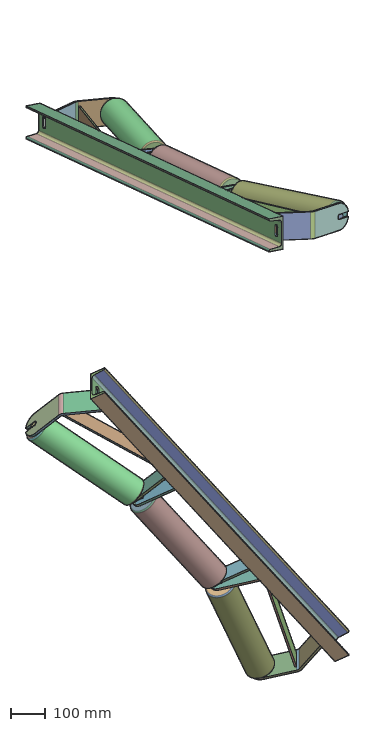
import cadquery as cq
import math


CHANNEL_LENGTH = 1300.0
CHANNEL_HEIGHT = 100.0
FLANGE_WIDTH = 48.0
WEB_THICKNESS = 5.0
FLANGE_THICKNESS = 9.0
FLANGE_TAPER = 0.1
ROOT_FILLET = 8.5
TOE_FILLET = 4.5
MOUNT_SLOT_WIDTH = 15.0
MOUNT_SLOT_HEIGHT = 36.0
MOUNT_SLOT_INSET = 29.0

ROLLER_RADIUS = 44.8
ROLLER_LENGTH = 380.0
ROLLER_EDGE = 4.0
SPINDLE_RADIUS = 9.8
SPINDLE_FLATS = 13.0
AXIS_HEIGHT = 118.0
SIDE_AXIS_HEIGHT = 121.0
AXIS_DROP = 20.0
TROUGH_ANGLE = 15.0

PLATE = 8.0
PLATE_SPACING = 396.0
BEND_RADIUS = 9.0
INNER_FOOT_SPREAD = 55.0
INNER_WIDTH = 51.0
OUTER_HALF_WIDTH = 41.0
TIP_DROP = 6.0
KNEE_HEIGHT = 112.0
KNEE_RADIUS = 18.0
LEG_ANGLE = 25.0
SLOT_WIDTH = 15.0
SLOT_DEPTH_BELOW_AXIS = 12.0

BRACE_THICKNESS = 5.8
BRACE_ANGLE = 19.1
BRACE_WIDTH = 55.0

COS = math.cos(math.radians(TROUGH_ANGLE))
SIN = math.sin(math.radians(TROUGH_ANGLE))
TAN = SIN / COS
LEG_TAN = math.tan(math.radians(LEG_ANGLE))

INNER_LEG_X = PLATE_SPACING / 2
SLANT_FOOT_X = INNER_LEG_X + INNER_FOOT_SPREAD
INNER_POINT = (SLANT_FOOT_X - SIDE_AXIS_HEIGHT * TAN, SIDE_AXIS_HEIGHT)
OUTER_POINT = (INNER_POINT[0] + PLATE_SPACING * COS, INNER_POINT[1] + PLATE_SPACING * SIN)
AXIS_TILT = math.degrees(math.asin(AXIS_DROP / PLATE_SPACING))

KNEE = (OUTER_POINT[0] + (OUTER_POINT[1] - KNEE_HEIGHT) * TAN, KNEE_HEIGHT)


def mirrored(body):
    return body.mirror("YZ")


def make_channel():
    half = CHANNEL_HEIGHT / 2
    middle = FLANGE_WIDTH / 2
    toe = half - FLANGE_THICKNESS + FLANGE_TAPER * middle
    root = half - FLANGE_THICKNESS - FLANGE_TAPER * (middle - WEB_THICKNESS)
    section = [
        (0, half), (-FLANGE_WIDTH, half), (-FLANGE_WIDTH, toe), (-WEB_THICKNESS, root),
        (-WEB_THICKNESS, -root), (-FLANGE_WIDTH, -toe), (-FLANGE_WIDTH, -half), (0, -half),
    ]
    beam = (
        cq.Workplane("YZ", origin=(-CHANNEL_LENGTH / 2, 0, 0))
        .polyline(section).close().extrude(CHANNEL_LENGTH)
    )
    for sign in (1, -1):
        root_edge = cq.NearestToPointSelector((0, -WEB_THICKNESS, sign * root))
        beam = beam.edges(root_edge).fillet(ROOT_FILLET)
        toe_edge = cq.NearestToPointSelector((0, -FLANGE_WIDTH, sign * toe))
        beam = beam.edges(toe_edge).fillet(TOE_FILLET)
    slot_x = CHANNEL_LENGTH / 2 - MOUNT_SLOT_INSET
    slots = (
        cq.Workplane("XZ").pushPoints([(-slot_x, 0), (slot_x, 0)])
        .slot2D(MOUNT_SLOT_HEIGHT, MOUNT_SLOT_WIDTH, 90)
        .extrude(WEB_THICKNESS)
    )
    return beam.cut(slots)


def make_roller():
    """Roller along X, centred on the origin, with its flatted spindle reaching through both plates."""
    shell = (
        cq.Workplane("YZ", origin=(-ROLLER_LENGTH / 2, 0, 0))
        .circle(ROLLER_RADIUS).extrude(ROLLER_LENGTH)
        .edges().fillet(ROLLER_EDGE)
    )
    spindle_length = PLATE_SPACING + PLATE
    spindle = (
        cq.Workplane("YZ", origin=(-spindle_length / 2, 0, 0))
        .circle(SPINDLE_RADIUS).extrude(spindle_length)
    )
    flats = cq.Workplane("XY").box(spindle_length, 2 * SPINDLE_RADIUS, SPINDLE_FLATS)
    return shell.union(spindle.intersect(flats))


def make_side_roller():
    middle_x = (INNER_POINT[0] + OUTER_POINT[0]) / 2
    middle_y = (INNER_POINT[1] + OUTER_POINT[1]) / 2
    return (
        make_roller()
        .rotate((0, 0, 0), (0, 1, 0), -AXIS_TILT)
        .rotate((0, 0, 0), (0, 0, 1), TROUGH_ANGLE)
        .translate((middle_x, middle_y, -AXIS_DROP / 2))
    )


def plate_frame(x, y, z):
    """Plane of a slanted plate at a roller axis: local X runs up the plate, local Y along Z."""
    return cq.Plane(origin=(x, y, z), xDir=(-SIN, COS, 0), normal=(COS, SIN, 0))


def spindle_slot(plane, reach):
    """Cutter for a slot with a round bottom, open upward, through one plate."""
    floor = SLOT_WIDTH / 2 - SLOT_DEPTH_BELOW_AXIS
    return (
        cq.Workplane(plane)
        .moveTo(reach, -SLOT_WIDTH / 2)
        .lineTo(floor, -SLOT_WIDTH / 2)
        .threePointArc((-SLOT_DEPTH_BELOW_AXIS, 0), (floor, SLOT_WIDTH / 2))
        .lineTo(reach, SLOT_WIDTH / 2)
        .close()
        .extrude(PLATE, both=True)
    )


def round_tip(plane, radius, center):
    """Outline of a bracket seen square to the plate: straight sides ending in a semicircle."""
    reach = 2 * OUTER_POINT[1]
    return (
        cq.Workplane(plane)
        .moveTo(-reach, -radius)
        .lineTo(center, -radius)
        .threePointArc((center + radius, 0), (center, radius))
        .lineTo(-reach, radius)
        .close()
        .extrude(reach, both=True)
    )


def make_inner_bracket():
    """Folded plate with an upright leg and a slanted leg joined by a bend at the top."""
    bend_x = INNER_LEG_X + BEND_RADIUS
    bend_y = (INNER_FOOT_SPREAD - BEND_RADIUS - BEND_RADIUS / COS) / TAN
    outer = BEND_RADIUS + PLATE / 2
    inner = BEND_RADIUS - PLATE / 2
    half_foot = PLATE / 2 / COS
    bracket = (
        cq.Workplane("XY").workplane(offset=-AXIS_DROP - INNER_WIDTH / 2)
        .moveTo(INNER_LEG_X - PLATE / 2, 0)
        .lineTo(INNER_LEG_X - PLATE / 2, bend_y)
        .threePointArc((bend_x, bend_y + outer), (bend_x + outer * COS, bend_y + outer * SIN))
        .lineTo(SLANT_FOOT_X + half_foot, 0)
        .lineTo(SLANT_FOOT_X - half_foot, 0)
        .lineTo(bend_x + inner * COS, bend_y + inner * SIN)
        .threePointArc((bend_x, bend_y + inner), (INNER_LEG_X + PLATE / 2, bend_y))
        .lineTo(INNER_LEG_X + PLATE / 2, 0)
        .close()
        .extrude(INNER_WIDTH)
    )
    upright = cq.Plane(origin=(INNER_LEG_X, AXIS_HEIGHT, -AXIS_DROP), xDir=(0, 1, 0), normal=(1, 0, 0))
    tip_center = bend_y + outer - INNER_WIDTH / 2 - AXIS_HEIGHT
    bracket = bracket.intersect(round_tip(upright, INNER_WIDTH / 2, tip_center))
    slanted = plate_frame(*INNER_POINT, -AXIS_DROP)
    bracket = bracket.cut(spindle_slot(upright, OUTER_HALF_WIDTH))
    return bracket.cut(spindle_slot(slanted, OUTER_HALF_WIDTH))


def make_outer_bracket():
    """Bent plate: a lower leg leaning out to the knee, then an upper plate square to the roller."""
    tip_y = OUTER_POINT[1] + OUTER_HALF_WIDTH * COS
    tip_x = OUTER_POINT[0] - OUTER_HALF_WIDTH * SIN
    foot_x = KNEE[0] - KNEE[1] * LEG_TAN
    half_foot = PLATE / 2 / math.cos(math.radians(LEG_ANGLE))
    bisector = math.radians((LEG_ANGLE - TROUGH_ANGLE) / 2)
    half_turn = math.radians((LEG_ANGLE + TROUGH_ANGLE) / 2)
    shift = PLATE / 2 / math.cos(half_turn)
    shift_x = shift * math.cos(bisector)
    shift_y = -shift * math.sin(bisector)
    tip_shift = (PLATE / 2 * COS, PLATE / 2 * SIN)
    outline = [
        (foot_x - half_foot, 0), (foot_x + half_foot, 0),
        (KNEE[0] + shift_x, KNEE[1] + shift_y),
        (tip_x + tip_shift[0], tip_y + tip_shift[1]),
        (tip_x - tip_shift[0], tip_y - tip_shift[1]),
        (KNEE[0] - shift_x, KNEE[1] - shift_y),
    ]
    bracket = (
        cq.Workplane("XY", origin=(0, 0, -OUTER_HALF_WIDTH))
        .polyline(outline).close().extrude(2 * OUTER_HALF_WIDTH)
    )
    outside_edge = cq.NearestToPointSelector((KNEE[0] + shift_x, KNEE[1] + shift_y, 0))
    bracket = bracket.edges(outside_edge).fillet(KNEE_RADIUS + PLATE / 2)
    inside_edge = cq.NearestToPointSelector((KNEE[0] - shift_x, KNEE[1] - shift_y, 0))
    bracket = bracket.edges(inside_edge).fillet(KNEE_RADIUS - PLATE / 2)
    plane = plate_frame(*OUTER_POINT, 0)
    silhouette = round_tip(plane, OUTER_HALF_WIDTH, -TIP_DROP)
    bracket = bracket.intersect(silhouette)
    return bracket.cut(spindle_slot(plane, 2 * OUTER_HALF_WIDTH))


def make_brace():
    """Flat bar from just above the knee of an outer bracket down to the channel back."""
    cos = math.cos(math.radians(BRACE_ANGLE))
    sin = math.sin(math.radians(BRACE_ANGLE))
    half_turn = math.radians((LEG_ANGLE + TROUGH_ANGLE) / 2)
    straight_start = KNEE_RADIUS * math.tan(half_turn)
    low_x = KNEE[0] - straight_start * SIN - PLATE / 2 * COS
    low_y = KNEE[1] + straight_start * COS - PLATE / 2 * SIN
    end_height = BRACE_THICKNESS / math.cos(math.radians(BRACE_ANGLE - TROUGH_ANGLE))
    foot_x = low_x - low_y * cos / sin
    outline = [
        (low_x, low_y),
        (low_x - end_height * SIN, low_y + end_height * COS),
        (foot_x - BRACE_THICKNESS * sin, BRACE_THICKNESS * cos),
        (foot_x, 0),
    ]
    return (
        cq.Workplane("XY").workplane(offset=-BRACE_WIDTH / 2)
        .polyline(outline).close()
        .extrude(BRACE_WIDTH)
    )


channel = make_channel()
center_roller = make_roller().translate((0, AXIS_HEIGHT, -AXIS_DROP))
bodies = [channel.val(), center_roller.val()]
for make_body in (make_side_roller, make_inner_bracket, make_outer_bracket, make_brace):
    body = make_body()
    bodies += [body.val(), mirrored(body).val()]

result = cq.Compound.makeCompound(bodies)